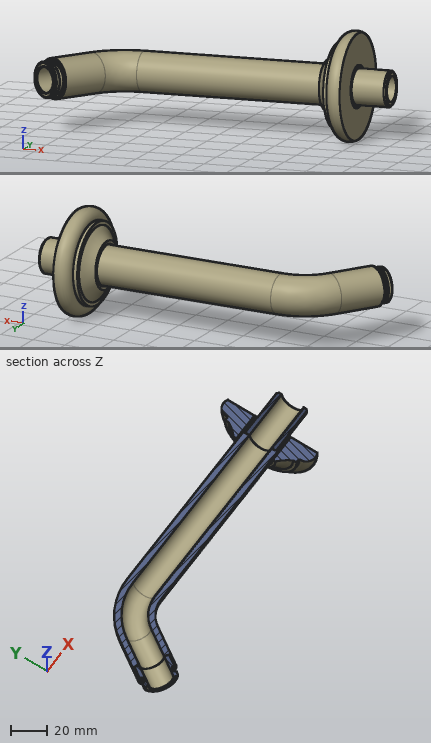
import cadquery as cq
import math


ARM_RADIUS = 11.55
BORE_RADIUS = 7.3
STRAIGHT_LENGTH = 126.0
BEND_RADIUS = 30.0
BEND_ANGLE = 56.5
OUTLET_LENGTH = 27.0

INSERT_RADIUS = 10.3
INSERT_CHAMFER = 1.0
OUTLET_SEAT_DEPTH = 7.9
OUTLET_PROJECTION = 6.3
NECK_RADIUS = 8.9
COLLAR_LENGTH = 3.5
COLLAR_CHAMFER = 0.8
BORE_CHAMFER = 0.4
SUPPLY_SEAT_DEPTH = 11.8
SUPPLY_PROJECTION = 19.7

ESCUTCHEON_BORE_RADIUS = 12.0
ESCUTCHEON_LENGTH = 18.0
FRONT_RADIUS = 14.0
FLARE_END_RADIUS = 21.7
FLARE_MIDDLE = (-14.6, 17.5)
RIM_FRONT = 11.8
RIM_RADIUS = 24.0
BEAD_RADIUS = 6.1
BEAD_CENTER_X = -3.2
BEAD_CENTER_RADIUS = 24.9

angle = math.radians(BEND_ANGLE)
outlet_direction = cq.Vector(-math.cos(angle), -math.sin(angle), 0)


def bend_point(turn):
    """Centreline point after turning by the given angle in radians."""
    x = -STRAIGHT_LENGTH - BEND_RADIUS * math.sin(turn)
    y = -BEND_RADIUS * (1 - math.cos(turn))
    return cq.Vector(x, y, 0)


bend_end = bend_point(angle)
arm_end = bend_end + outlet_direction * OUTLET_LENGTH


def arm_rod(radius):
    """Solid rod of the given radius along the whole arm centreline."""
    path = (
        cq.Workplane("XY")
        .lineTo(-STRAIGHT_LENGTH, 0)
        .threePointArc(bend_point(angle / 2).toTuple()[:2], bend_end.toTuple()[:2])
        .lineTo(arm_end.x, arm_end.y)
    )
    return cq.Workplane("YZ").circle(radius).sweep(path)


def outlet_cylinder(radius, start, end):
    """Cylinder on the outlet axis between two distances from the arm end."""
    base = arm_end + outlet_direction * start
    return cq.Workplane(obj=cq.Solid.makeCylinder(radius, end - start, base, outlet_direction))


def make_arm():
    outlet_seat = outlet_cylinder(INSERT_RADIUS, -OUTLET_SEAT_DEPTH, 0)
    supply_seat = cq.Workplane("YZ").circle(INSERT_RADIUS).extrude(-SUPPLY_SEAT_DEPTH)
    return arm_rod(ARM_RADIUS).cut(arm_rod(BORE_RADIUS)).cut(outlet_seat).cut(supply_seat)


def make_outlet_insert():
    """Grooved pipe end: seated sleeve, neck and chamfered collar, bored through."""
    collar_start = OUTLET_PROJECTION - COLLAR_LENGTH
    profile = [
        (BORE_RADIUS, -OUTLET_SEAT_DEPTH),
        (INSERT_RADIUS, -OUTLET_SEAT_DEPTH),
        (INSERT_RADIUS, 0),
        (NECK_RADIUS, 0),
        (NECK_RADIUS, collar_start),
        (INSERT_RADIUS - COLLAR_CHAMFER, collar_start),
        (INSERT_RADIUS, collar_start + COLLAR_CHAMFER),
        (INSERT_RADIUS, OUTLET_PROJECTION - COLLAR_CHAMFER),
        (INSERT_RADIUS - COLLAR_CHAMFER, OUTLET_PROJECTION),
        (BORE_RADIUS + BORE_CHAMFER, OUTLET_PROJECTION),
        (BORE_RADIUS, OUTLET_PROJECTION - BORE_CHAMFER),
    ]
    plane = cq.Plane(origin=arm_end, xDir=outlet_direction.cross(cq.Vector(0, 0, 1)), normal=(0, 0, 1))
    return cq.Workplane(plane).polyline(profile).close().revolve(360, (0, 0), (0, 1))


def make_supply_nipple():
    length = SUPPLY_SEAT_DEPTH + SUPPLY_PROJECTION
    nipple = cq.Workplane("YZ", origin=(-SUPPLY_SEAT_DEPTH, 0, 0)).circle(INSERT_RADIUS).extrude(length)
    return nipple.faces(">X").chamfer(INSERT_CHAMFER).faces(">X").workplane().hole(2 * BORE_RADIUS)


def make_escutcheon():
    back_radius = BEAD_CENTER_RADIUS + math.sqrt(BEAD_RADIUS**2 - BEAD_CENTER_X**2)
    bead_front = BEAD_CENTER_X - BEAD_RADIUS
    bead_top = (BEAD_CENTER_X, BEAD_CENTER_RADIUS + BEAD_RADIUS)
    return (
        cq.Workplane("XY")
        .moveTo(0, ESCUTCHEON_BORE_RADIUS)
        .lineTo(-ESCUTCHEON_LENGTH, ESCUTCHEON_BORE_RADIUS)
        .lineTo(-ESCUTCHEON_LENGTH, FRONT_RADIUS)
        .threePointArc(FLARE_MIDDLE, (-RIM_FRONT, FLARE_END_RADIUS))
        .lineTo(-RIM_FRONT, RIM_RADIUS)
        .lineTo(bead_front, RIM_RADIUS)
        .lineTo(bead_front, BEAD_CENTER_RADIUS)
        .threePointArc(bead_top, (0, back_radius))
        .close()
        .revolve(360, (0, 0), (1, 0))
    )


arm = make_arm()
outlet_insert = make_outlet_insert()
supply_nipple = make_supply_nipple()
escutcheon = make_escutcheon()

result = cq.Compound.makeCompound(
    [arm.val(), outlet_insert.val(), supply_nipple.val(), escutcheon.val()]
)